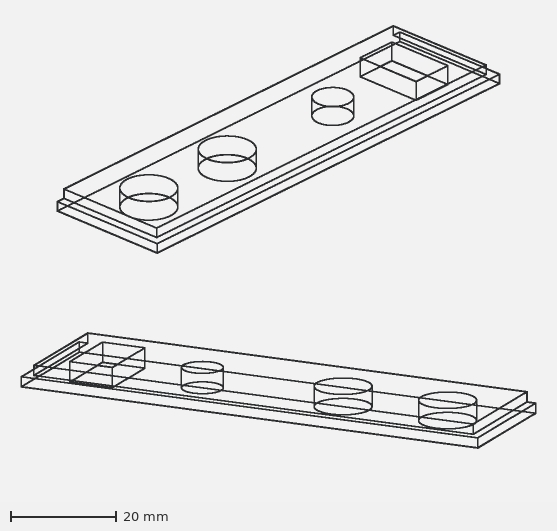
import cadquery as cq

length = 96.0
width = 25.8
total_height = 4.0
base_height = total_height / 2

ledge = 1.8
panel_width = width - ledge
panel_length = length - 2 * ledge

opening_x = 11.6
window_width = 14.5
window_length = 8.9
window_y = 84.6
small_hole_diameter = 8.0
large_hole_diameter = 11.0
round_holes = [
    (13.1, large_hole_diameter),
    (35.0, large_hole_diameter),
    (64.6, small_hole_diameter),
]


def stepped_plate():
    base = cq.Workplane("XY").box(width, length, base_height, centered=False)
    panel = (
        cq.Workplane("XY")
        .box(panel_width, panel_length, total_height - base_height, centered=False)
        .translate((0, ledge, base_height))
    )
    return base.union(panel)


def window_cutter():
    return (
        cq.Workplane("XY")
        .center(opening_x, window_y)
        .rect(window_width, window_length)
        .extrude(total_height)
    )


def hole_cutter(center_y, diameter):
    return (
        cq.Workplane("XY")
        .center(opening_x, center_y)
        .circle(diameter / 2)
        .extrude(total_height)
    )


result = stepped_plate().cut(window_cutter())
for hole_y, hole_diameter in round_holes:
    result = result.cut(hole_cutter(hole_y, hole_diameter))